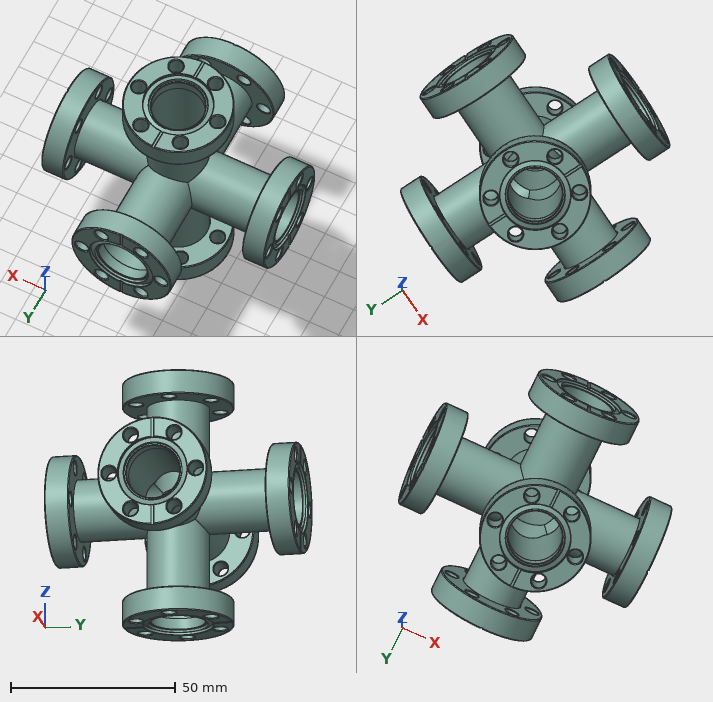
import cadquery as cq
import math

span = 76.2
half_span = span / 2

tube_radius = 9.5
tube_bore_radius = 8.3

flange_radius = 17.0
flange_thickness = 7.55
rim_chamfer = 0.3
flange_back = half_span - flange_thickness
tube_end = half_span - 4.6

recess_radius = 10.75
recess_chamfer = 0.15
cone_base_z = half_span - 1.0
knife_radius = 9.15
knife_z = half_span - 0.4
ledge_radius = 9.0
ledge_z = half_span - 1.15
bore_lip_width = 0.2
bore_lip_drop = 0.1

tube_clearance = 0.2

bolt_count = 6
bolt_circle_radius = 13.5
bolt_hole_radius = 2.2
front_hole_chamfer = 0.3
back_hole_chamfer = 0.2

groove_width = 0.85
groove_depth = 0.4


def revolve_about_z(profile):
    """Solid of revolution about Z from (radius, z) points."""
    return cq.Workplane("XZ").polyline(profile).close().revolve(360, (0, 0, 0), (0, 1, 0))


def make_cross(radius, reach):
    """Three crossing cylinders along X, Y and Z."""
    cross = cq.Workplane("XY").circle(radius).extrude(reach, both=True)
    for plane in ("XZ", "YZ"):
        cross = cross.union(cq.Workplane(plane).circle(radius).extrude(reach, both=True))
    return cross


def make_bolt_hole():
    """Through hole on the Z axis, chamfered at both faces of the flange."""
    return revolve_about_z(
        [
            (0, flange_back),
            (bolt_hole_radius + back_hole_chamfer, flange_back),
            (bolt_hole_radius, flange_back + back_hole_chamfer),
            (bolt_hole_radius, half_span - front_hole_chamfer),
            (bolt_hole_radius + front_hole_chamfer, half_span),
            (0, half_span),
        ]
    )


def make_ring(tube_hole_radius):
    """Flange ring on the +Z port, with a socket for the knife edge and a hole behind it for the tube."""
    ring = revolve_about_z(
        [
            (tube_hole_radius, flange_back),
            (flange_radius - rim_chamfer, flange_back),
            (flange_radius, flange_back + rim_chamfer),
            (flange_radius, half_span - rim_chamfer),
            (flange_radius - rim_chamfer, half_span),
            (recess_radius + recess_chamfer, half_span),
            (recess_radius, half_span - recess_chamfer),
            (recess_radius, tube_end),
            (tube_hole_radius, tube_end),
        ]
    )
    hole = make_bolt_hole()
    for index in range(bolt_count):
        angle = 2 * math.pi * index / bolt_count
        x = bolt_circle_radius * math.cos(angle)
        y = bolt_circle_radius * math.sin(angle)
        ring = ring.cut(hole.translate((x, y, 0)))
    groove = cq.Workplane("XY").box(groove_width, 2 * flange_radius, 2 * groove_depth)
    return ring.cut(groove.translate((0, 0, half_span)))


def make_insert():
    """Knife edge sleeve that sits on the end of the +Z tube."""
    return revolve_about_z(
        [
            (tube_bore_radius, tube_end),
            (recess_radius, tube_end),
            (recess_radius, cone_base_z),
            (knife_radius, knife_z),
            (ledge_radius, ledge_z),
            (tube_bore_radius + bore_lip_width, ledge_z),
            (tube_bore_radius, ledge_z - bore_lip_drop),
        ]
    )


def make_fixed_flange():
    """One-piece flange on the +Z port, knife edge included."""
    return make_ring(tube_radius).union(make_insert())


def place(body, tilt, turn):
    """Tilt a body from the +Z port about X, then turn it about Z."""
    return body.rotate((0, 0, 0), (1, 0, 0), tilt).rotate((0, 0, 0), (0, 0, 1), turn)


fixed_ports = [(0, 0), (90, 0), (90, -90)]
rotatable_ports = [(180, 0), (90, 180), (90, 90)]

tube_cross = make_cross(tube_radius, tube_end).cut(make_cross(tube_bore_radius, tube_end))
fixed_flanges = [place(make_fixed_flange(), *port) for port in fixed_ports]
rotatable_rings = [place(make_ring(tube_radius + tube_clearance), *port) for port in rotatable_ports]
inserts = [place(make_insert(), *port) for port in rotatable_ports]

bodies = [tube_cross, *fixed_flanges, *rotatable_rings, *inserts]
result = cq.Compound.makeCompound([body.val() for body in bodies])